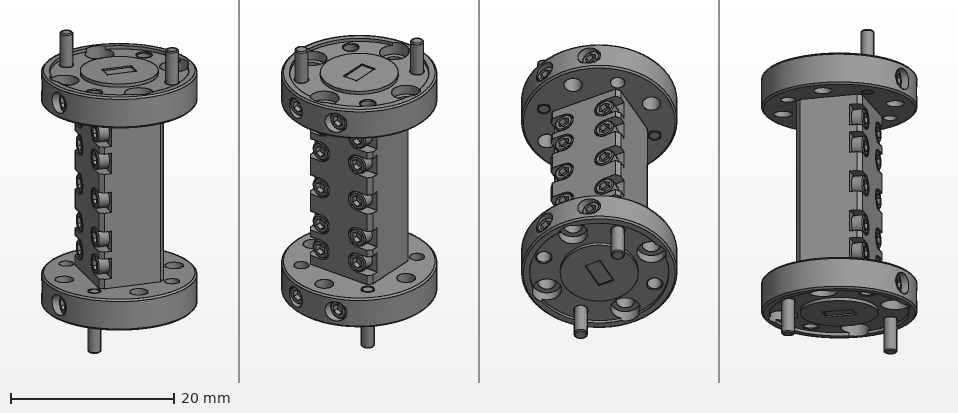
import cadquery as cq
import math

total_length = 38.23
flange_diameter = 19.05
flange_outer_z = 15.25
flange_inner_z = 11.2
flange_edge_chamfer = 0.23

recess_depth = 0.42
recess_diameter = 17.05
boss_diameter = 9.55
recess_floor_z = flange_outer_z - recess_depth

window_width = 2.0
window_height = 3.8
window_depth = 0.2

bolt_circle_radius = 7.15
pin_offset = bolt_circle_radius / math.sqrt(2)
bolt_hole_diameter = 2.25
counterbore_diameter = 3.55
counterbore_depth = 1.22
pin_mouth_diameter = 1.8
alignment_hole_diameter = 1.8
alignment_mouth_diameter = 2.03

pin_diameter = 1.6
pin_end_chamfer = 0.15

block_width = 9.52
block_depth = 8.4
block_chamfer_x = 0.45
block_chamfer_y = 0.57
block_front_y = -block_depth / 2

screw_recess_diameter = 2.65
head_diameter = 2.45
head_height = 1.5
head_chamfer = 0.15
socket_across_flats = 1.3
socket_depth = 0.75
block_screw_x = 2.8
block_screw_rows = [-8.65, -5.1, 0.0, 5.1, 8.65]
flange_screw_x = 3.05
flange_screw_z = (flange_outer_z + flange_inner_z) / 2
flange_head_top_y = -8.5


def cylinder(x, y, z_start, z_end, diameter):
    """A cylinder parallel to Z."""
    return cq.Workplane("XY", origin=(x, y, z_start)).circle(diameter / 2).extrude(z_end - z_start)


def front_cylinder(x, z, y_front, y_back, diameter):
    """A cylinder parallel to Y, running from y_front towards +Y up to y_back."""
    plane = cq.Workplane("XZ", origin=(x, y_back, z))
    return plane.circle(diameter / 2).extrude(y_back - y_front)


def turned_end_for_end(shape):
    """The same shape at the other end of the part: half a turn about the Y axis."""
    return shape.rotate((0, 0, 0), (0, 1, 0), 180)


def screw_head(x, z, y_top):
    """A socket head with its top at y_top, facing -Y."""
    head = front_cylinder(x, z, y_top, y_top + head_height, head_diameter)
    head = head.faces("<Y").chamfer(head_chamfer)
    vertex_circle = socket_across_flats / math.cos(math.radians(30))
    socket = (
        cq.Workplane("XZ", origin=(x, y_top + socket_depth, z))
        .transformed(rotate=(0, 0, 90))
        .polygon(6, vertex_circle)
        .extrude(socket_depth)
    )
    return head.cut(socket)


def countersunk_hole(x, y, hole_diameter, mouth_diameter):
    """A hole through the +Z flange with a 45 degree countersink at the recess floor."""
    hole = cylinder(x, y, flange_inner_z, recess_floor_z, hole_diameter)
    mouth = cq.Solid.makeCone(
        mouth_diameter / 2,
        hole_diameter / 2,
        (mouth_diameter - hole_diameter) / 2,
        pnt=cq.Vector(x, y, recess_floor_z),
        dir=cq.Vector(0, 0, -1),
    )
    return hole.union(cq.Workplane(mouth))


def upper_flange():
    """The +Z flange with its face recess, waveguide window, bolt holes and pin holes."""
    flange = cylinder(0, 0, flange_inner_z, flange_outer_z, flange_diameter)
    flange = flange.edges().chamfer(flange_edge_chamfer)

    groove = cylinder(0, 0, recess_floor_z, flange_outer_z, recess_diameter)
    groove = groove.cut(cylinder(0, 0, recess_floor_z, flange_outer_z, boss_diameter))
    flange = flange.cut(groove)

    window = cq.Workplane("XY", origin=(0, 0, flange_outer_z)).rect(window_width, window_height)
    flange = flange.cut(window.extrude(-window_depth))

    seat_z = recess_floor_z - counterbore_depth
    for x, y in [(1, 0), (0, 1), (-1, 0), (0, -1)]:
        hole_x = x * bolt_circle_radius
        hole_y = y * bolt_circle_radius
        flange = flange.cut(cylinder(hole_x, hole_y, flange_inner_z, flange_outer_z, bolt_hole_diameter))
        flange = flange.cut(cylinder(hole_x, hole_y, seat_z, flange_outer_z, counterbore_diameter))

    for side in (1, -1):
        offset = side * pin_offset
        flange = flange.cut(countersunk_hole(offset, offset, pin_diameter, pin_mouth_diameter))
        flange = flange.cut(
            countersunk_hole(-offset, offset, alignment_hole_diameter, alignment_mouth_diameter)
        )
    return flange


def add_flange_screws(flange):
    """Two side screws sunk into the front of the rim."""
    for x in (-flange_screw_x, flange_screw_x):
        floor_y = flange_head_top_y + head_height
        recess = front_cylinder(x, flange_screw_z, -flange_diameter / 2, floor_y, screw_recess_diameter)
        flange = flange.cut(recess).union(screw_head(x, flange_screw_z, flange_head_top_y))
    return flange


def screw_slot(side, z):
    """A round-ended slot, open at the side of the block, around a front screw."""
    x = side * block_screw_x
    floor_y = block_front_y + head_height
    slot = front_cylinder(x, z, block_front_y, floor_y, screw_recess_diameter)
    run_out = block_width / 2 - block_screw_x
    channel = cq.Workplane("XY").box(run_out, head_height, screw_recess_diameter)
    channel_x = side * (block_screw_x + run_out / 2)
    return slot.union(channel.translate((channel_x, block_front_y + head_height / 2, z)))


def block():
    """The central block with two columns of screws set in its front face."""
    half_x = block_width / 2
    half_y = block_depth / 2
    corner_x = half_x - block_chamfer_x
    corner_y = half_y - block_chamfer_y
    outline = [
        (corner_x, half_y),
        (half_x, corner_y),
        (half_x, -corner_y),
        (corner_x, -half_y),
        (-corner_x, -half_y),
        (-half_x, -corner_y),
        (-half_x, corner_y),
        (-corner_x, half_y),
    ]
    shape = cq.Workplane("XY", origin=(0, 0, -flange_inner_z)).polyline(outline).close()
    shape = shape.extrude(2 * flange_inner_z)
    for z in block_screw_rows:
        for side in (-1, 1):
            shape = shape.cut(screw_slot(side, z))
            shape = shape.union(screw_head(side * block_screw_x, z, block_front_y))
    return shape


def waveguide_housing():
    """The block and both flanges, with their screws, as one solid."""
    flange = add_flange_screws(upper_flange())
    return block().union(flange).union(turned_end_for_end(flange))


def upper_pin(side):
    """A guide pin of the +Z flange, flush with the inner face of the flange."""
    offset = side * pin_offset
    pin = cylinder(offset, offset, flange_inner_z, total_length / 2, pin_diameter)
    return pin.faces("<Z or >Z").chamfer(pin_end_chamfer)


housing = waveguide_housing()

guide_pins = []
for pin_side in (1, -1):
    pin = upper_pin(pin_side)
    guide_pins.append(pin.val())
    guide_pins.append(turned_end_for_end(pin).val())

result = cq.Compound.makeCompound([housing.val(), *guide_pins])